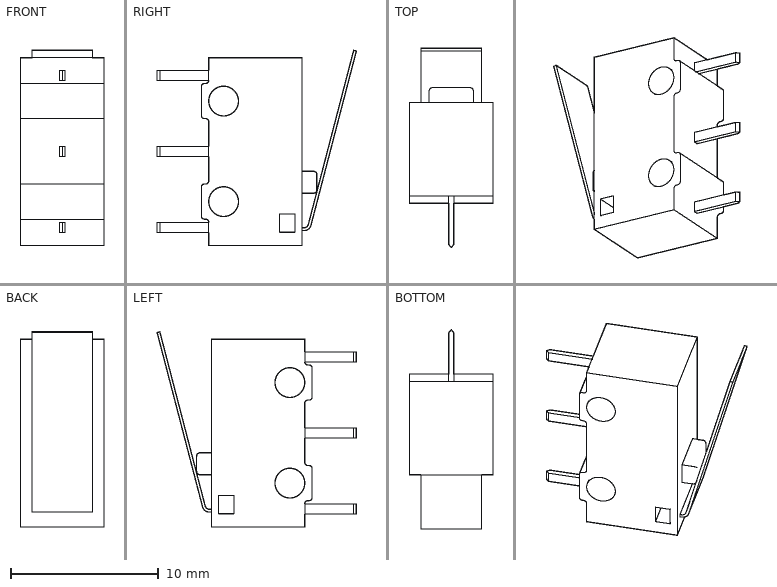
import cadquery as cq
import math

BODY_WIDTH = 5.65
BODY_DEPTH = 6.33
BODY_HEIGHT = 12.71

ROOT_DEPTH = 0.13

HOLE_DIAMETER = 2.0
HOLE_Y = 1.01
LOWER_HOLE_Z = 2.97
HOLE_SPACING = 6.8
HOLE_HEIGHTS = (LOWER_HOLE_Z, LOWER_HOLE_Z + HOLE_SPACING)
RIDGE_HEIGHT = 2.39
RIDGE_DEPTH = 0.5
RIDGE_RADIUS = 0.2

WINDOW_DEPTH = 1.03
WINDOW_HEIGHT = 1.23
WINDOW_Y = 5.32
WINDOW_Z = 1.51

PIN_LENGTH = 3.5
PIN_WIDTH = 0.36
PIN_HEIGHT = 0.7
PIN_SPACING = 5.14
PIN_TIP_LENGTH = 0.22
PIN_HEIGHTS = [BODY_HEIGHT / 2 + step * PIN_SPACING for step in (-1, 0, 1)]

PLUNGER_WIDTH = 3.0
PLUNGER_HEIGHT = 1.5
PLUNGER_LENGTH = 1.0
PLUNGER_Z = 4.28
PLUNGER_RADIUS = 0.24

OVERALL_DEPTH = 13.49
OVERALL_HEIGHT = 13.2
LEVER_WIDTH = 4.1
LEVER_THICKNESS = 0.2
LEVER_FOOT_Z = 1.0
LEVER_OUTER_RADIUS = 0.5
LEVER_TILT = math.radians(14.6)


def make_body():
    body = cq.Workplane("XY").box(BODY_WIDTH, BODY_DEPTH, BODY_HEIGHT, centered=(True, False, False))
    for z in HOLE_HEIGHTS:
        body = body.union(make_ridge(z))
    holes = (
        cq.Workplane("YZ")
        .pushPoints([(HOLE_Y, z) for z in HOLE_HEIGHTS])
        .circle(HOLE_DIAMETER / 2)
        .extrude(BODY_WIDTH / 2, both=True)
    )
    window = cq.Workplane("XY").box(BODY_WIDTH, WINDOW_DEPTH, WINDOW_HEIGHT)
    return body.cut(holes).cut(window.translate((0, WINDOW_Y, WINDOW_Z)))


def make_ridge(z):
    """Full-width ridge with rounded outer edges and filleted roots, rooted inside the body."""
    half = RIDGE_HEIGHT / 2
    r = RIDGE_RADIUS
    arc_inset = r * (1 - math.sqrt(0.5))
    return (
        cq.Workplane("YZ", origin=(0, 0, z))
        .moveTo(ROOT_DEPTH, -half - r)
        .lineTo(0, -half - r)
        .threePointArc((-arc_inset, -half - arc_inset), (-r, -half))
        .lineTo(r - RIDGE_DEPTH, -half)
        .threePointArc((arc_inset - RIDGE_DEPTH, arc_inset - half), (-RIDGE_DEPTH, r - half))
        .lineTo(-RIDGE_DEPTH, half - r)
        .threePointArc((arc_inset - RIDGE_DEPTH, half - arc_inset), (r - RIDGE_DEPTH, half))
        .lineTo(-r, half)
        .threePointArc((-arc_inset, half + arc_inset), (0, half + r))
        .lineTo(ROOT_DEPTH, half + r)
        .close()
        .extrude(BODY_WIDTH / 2, both=True)
    )


def make_pin(z):
    """Flat pin running forward from the body, sharpened to an edge at its tip."""
    half = PIN_WIDTH / 2
    taper_y = PIN_TIP_LENGTH - PIN_LENGTH
    outline = [
        (-half, ROOT_DEPTH),
        (-half, taper_y),
        (0, -PIN_LENGTH),
        (half, taper_y),
        (half, ROOT_DEPTH),
    ]
    pin = cq.Workplane("XY").polyline(outline).close().extrude(PIN_HEIGHT / 2, both=True)
    return pin.translate((0, 0, z))


def make_plunger():
    plunger = (
        cq.Workplane("XY")
        .box(PLUNGER_WIDTH, PLUNGER_LENGTH, PLUNGER_HEIGHT, centered=(True, False, True))
        .faces(">Y")
        .edges()
        .fillet(PLUNGER_RADIUS)
    )
    return plunger.translate((0, BODY_DEPTH, PLUNGER_Z))


def make_lever():
    """Sheet strip leaving the back face, bent upward and leaning away from the body."""
    sin_tilt = math.sin(LEVER_TILT)
    cos_tilt = math.cos(LEVER_TILT)
    inner_radius = LEVER_OUTER_RADIUS - LEVER_THICKNESS

    tip_outer_y = OVERALL_DEPTH - PIN_LENGTH
    tip_outer_z = OVERALL_HEIGHT - LEVER_THICKNESS * sin_tilt
    tip_inner = (tip_outer_y - LEVER_THICKNESS * cos_tilt, OVERALL_HEIGHT)

    bend_z = LEVER_FOOT_Z + LEVER_OUTER_RADIUS
    bend_y = (
        tip_outer_y
        - (tip_outer_z - bend_z) * math.tan(LEVER_TILT)
        - LEVER_OUTER_RADIUS / cos_tilt
    )

    def bend_point(radius, angle):
        return (bend_y + radius * math.cos(angle), bend_z + radius * math.sin(angle))

    foot_angle = -math.pi / 2
    arm_angle = -LEVER_TILT
    middle_angle = (foot_angle + arm_angle) / 2
    foot_start = BODY_DEPTH - ROOT_DEPTH
    return (
        cq.Workplane("YZ")
        .moveTo(foot_start, LEVER_FOOT_Z)
        .lineTo(*bend_point(LEVER_OUTER_RADIUS, foot_angle))
        .threePointArc(
            bend_point(LEVER_OUTER_RADIUS, middle_angle),
            bend_point(LEVER_OUTER_RADIUS, arm_angle),
        )
        .lineTo(tip_outer_y, tip_outer_z)
        .lineTo(*tip_inner)
        .lineTo(*bend_point(inner_radius, arm_angle))
        .threePointArc(bend_point(inner_radius, middle_angle), bend_point(inner_radius, foot_angle))
        .lineTo(foot_start, LEVER_FOOT_Z + LEVER_THICKNESS)
        .close()
        .extrude(LEVER_WIDTH / 2, both=True)
    )


result = make_body().union(make_plunger()).union(make_lever())
for pin_z in PIN_HEIGHTS:
    result = result.union(make_pin(pin_z))